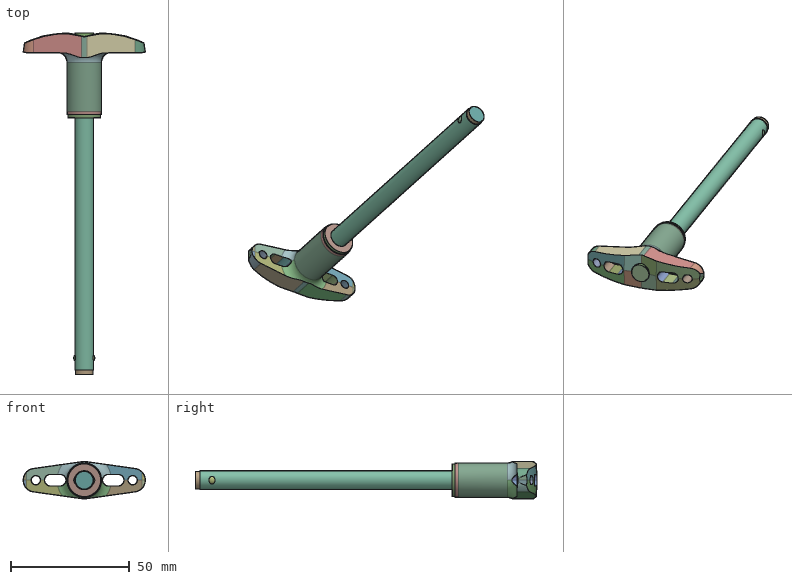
import cadquery as cq
import math

overall_length = 144.0
pin_length = 108.2
top_y = overall_length - pin_length
tip_y = -pin_length

handle_length = 51.5
hub_radius = 7.895
end_radius = 5.0
end_center_x = handle_length / 2 - end_radius
peak_x = 7.2
arch_radius = 40.0
center_dip = 1.3
top_draft = 3.0
side_margin = 2.0
handle_depth = 8.4
underside_y = top_y - handle_depth
bevel_x = 24.4
bevel_rise = 0.3
end_cut_depth = 8.0
end_cut_low_y = top_y - end_cut_depth
end_cut_angle = math.radians(8.5)

hole_x = 20.4
hole_radius = 1.9
slot_radius = 2.4
slot_inner_x = 7.75
slot_outer_x = 16.7
cutter_margin = 1.0
cutter_top_y = top_y + cutter_margin

body_radius = 7.3
root_fillet = 4.1
flare_y = underside_y - root_fillet
collar_radius = 6.9
collar_length = 1.3
rim_length = 1.3
rim_taper = 0.1
button_radius = 3.9
button_depth = 4.0

pin_radius = 4.0
tip_radius = 3.75
tip_length = 1.9
ball_radius = 2.0
ball_projection = 0.45
ball_from_tip = 7.0
ball_y = tip_y + ball_from_tip


def at_height(y):
    """XZ workplane at height y whose extrusions run toward -Y and local axes are X and Z."""
    return cq.Workplane("XZ", origin=(0, y, 0))


def handle_outline():
    """Round hub and two round ends joined by common tangent lines, as a tall prism."""
    slope = math.asin((hub_radius - end_radius) / end_center_x)
    hub_x = hub_radius * math.sin(slope)
    hub_z = hub_radius * math.cos(slope)
    end_x = end_center_x + end_radius * math.sin(slope)
    end_z = end_radius * math.cos(slope)
    tip_x = end_center_x + end_radius
    return (
        at_height(top_y)
        .moveTo(-hub_x, hub_z)
        .threePointArc((0, hub_radius), (hub_x, hub_z))
        .lineTo(end_x, end_z)
        .threePointArc((tip_x, 0), (end_x, -end_z))
        .lineTo(hub_x, -hub_z)
        .threePointArc((0, -hub_radius), (-hub_x, -hub_z))
        .lineTo(-end_x, -end_z)
        .threePointArc((-tip_x, 0), (-end_x, end_z))
        .close()
        .extrude(top_y)
    )


def arch_y(x):
    """Height of the arched top of a wing at distance x from the pin axis."""
    return top_y - arch_radius + math.sqrt(arch_radius**2 - (x - peak_x) ** 2)


def top_surface():
    """Half block under the two arched wing tops, which fall away from the parting plane Z = 0."""
    edge_x = handle_length / 2 + side_margin
    middle_x = (peak_x + edge_x) / 2
    profile = (
        cq.Workplane("XY")
        .moveTo(0, top_y - center_dip)
        .lineTo(peak_x, top_y)
        .threePointArc((middle_x, arch_y(middle_x)), (edge_x, arch_y(edge_x)))
        .lineTo(edge_x, 0)
        .lineTo(-edge_x, 0)
        .lineTo(-edge_x, arch_y(edge_x))
        .threePointArc((-middle_x, arch_y(middle_x)), (-peak_x, top_y))
        .close()
    )
    return profile.extrude(hub_radius, taper=top_draft)


def underside_and_ends():
    """Half block above the handle underside, closed by the leaning end faces."""
    tip_x = handle_length / 2
    lean_x = tip_x - end_cut_depth * math.tan(end_cut_angle)
    right_side = [
        (bevel_x, underside_y),
        (tip_x, underside_y + bevel_rise),
        (tip_x, end_cut_low_y),
        (lean_x, top_y),
    ]
    left_side = [(-x, y) for x, y in reversed(right_side)]
    return cq.Workplane("XY").polyline(right_side + left_side).close().extrude(hub_radius)


def flare():
    """Half of the concave root that spreads from the body to the handle underside."""
    diagonal = root_fillet * math.sqrt(0.5)
    flare_radius = body_radius + root_fillet
    return (
        cq.Workplane("XY")
        .moveTo(0, underside_y)
        .lineTo(flare_radius, underside_y)
        .threePointArc((flare_radius - diagonal, flare_y + diagonal), (body_radius, flare_y))
        .lineTo(0, flare_y)
        .close()
        .revolve(180, (0, 0, 0), (0, -1, 0))
    )


def body():
    """Turned body below the flare: cylinder, tapered rim and collar."""
    return (
        cq.Workplane("XY")
        .moveTo(0, flare_y)
        .lineTo(body_radius, flare_y)
        .lineTo(body_radius, collar_length + rim_length)
        .lineTo(body_radius - rim_taper, collar_length)
        .lineTo(collar_radius, collar_length)
        .lineTo(collar_radius, 0)
        .lineTo(0, 0)
        .close()
        .revolve(360, (0, 0, 0), (0, 1, 0))
    )


def hole_cutter(x):
    """Round cutter at x, drawn as two arcs that meet away from the parting plane."""
    return (
        at_height(cutter_top_y)
        .moveTo(x, hole_radius)
        .threePointArc((x + hole_radius, 0), (x, -hole_radius))
        .threePointArc((x - hole_radius, 0), (x, hole_radius))
        .close()
        .extrude(cutter_top_y)
    )


def openings():
    """Cutters for the slot and the round hole of each wing, parallel to the pin axis."""
    slot_length = slot_outer_x - slot_inner_x
    slot_x = (slot_outer_x + slot_inner_x) / 2
    slot_places = at_height(cutter_top_y).pushPoints([(-slot_x, 0), (slot_x, 0)])
    slots = slot_places.slot2D(slot_length, 2 * slot_radius).extrude(cutter_top_y)
    return slots.union(hole_cutter(-hole_x)).union(hole_cutter(hole_x))


def pin():
    """Shank with a stepped tip and a locking ball standing out on each side."""
    shank = at_height(0).circle(pin_radius).extrude(pin_length - tip_length)
    tip = at_height(tip_y + tip_length).circle(tip_radius).extrude(tip_length)
    shank = shank.union(tip)
    ball_x = pin_radius + ball_projection - ball_radius
    for side in (-1, 1):
        ball = cq.Workplane("XY").sphere(ball_radius).translate((side * ball_x, ball_y, 0))
        shank = shank.union(ball)
    return shank


def handle():
    """T-handle with its flared root, built as the half above Z = 0 and its mirror image."""
    plate_half = top_surface().intersect(underside_and_ends())
    outline = handle_outline().cut(openings())
    half = plate_half.union(flare()).intersect(outline)
    return half.union(half.mirror("XY"), clean=False)


button = at_height(top_y).circle(button_radius).extrude(button_depth)
assembled = handle()
for piece in (body(), button, pin()):
    assembled = assembled.union(piece, clean=False)
result = assembled.solids()